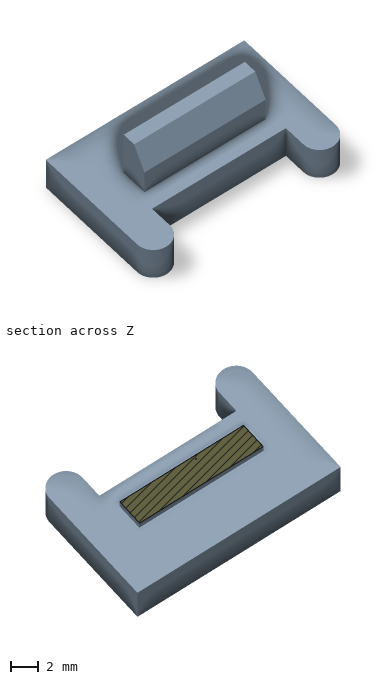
import cadquery as cq

length = 18.4
overall_width = 12.0
base_height = 3.0
arm_width = 3.0
plate_width = 8.5
arm_radius = arm_width / 2

total_height = 7.12
rib_offset = 4.5
rib_thickness = 2.4
rib_length = 11.22
slope_width = rib_thickness / 2
slope_height = 2.0


def make_plate():
    return cq.Workplane("XY").box(plate_width, length, base_height, centered=(False, True, False))


def make_arm(side):
    """Arm along one end of the plate; side is +1 or -1 in Y."""
    center_y = side * (length - arm_width) / 2
    round_center_x = overall_width - arm_radius
    bar = (
        cq.Workplane("XY")
        .center(0, center_y)
        .box(round_center_x, arm_width, base_height, centered=(False, True, False))
    )
    tip = cq.Workplane("XY").center(round_center_x, center_y).circle(arm_radius).extrude(base_height)
    return bar.union(tip)


def make_rib():
    outer_x = rib_offset + rib_thickness
    return (
        cq.Workplane("XZ")
        .moveTo(rib_offset, 0)
        .lineTo(outer_x, 0)
        .lineTo(outer_x, total_height - slope_height)
        .lineTo(outer_x - slope_width, total_height)
        .lineTo(rib_offset, total_height)
        .close()
        .extrude(rib_length / 2, both=True)
    )


result = make_plate()
for side in (-1, 1):
    result = result.union(make_arm(side))
result = result.union(make_rib()).clean()